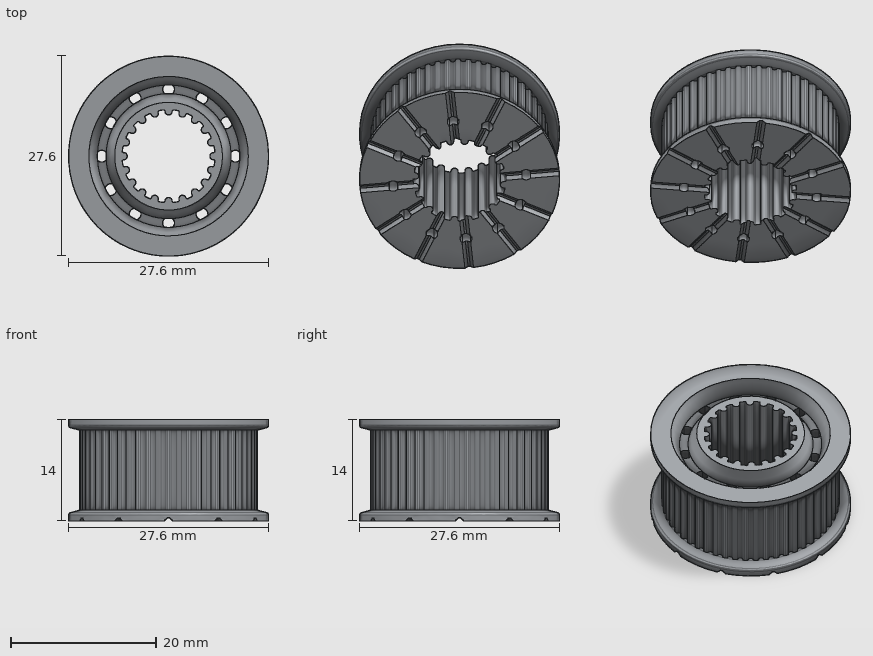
import cadquery as cq
import math

FLANGE_DIAMETER = 27.55
HEIGHT = 14.0

FLANGE_THICKNESS = 1.5
FLANGE_CONE_ANGLE = 15.0
FLANGE_EDGE_FILLET = 0.37

BELT_TEETH = 53
BARREL_DIAMETER = 24.5
BELT_GROOVE_DEPTH = 0.42
BELT_GROOVE_NOSE_RADIUS = 0.38
BELT_GROOVE_EDGE_RADIUS = 0.22

BORE_LUGS = 20
BORE_DIAMETER = 12.78
LUG_HEIGHT = 0.72
LUG_NOSE_RADIUS = 0.5
LUG_ROOT_RADIUS = 0.18

TOP_GROOVE_INNER_RADIUS = 7.42
TOP_GROOVE_OUTER_RADIUS = 10.98
TOP_GROOVE_WALL_RUN = 1.19
TOP_GROOVE_DEPTH = 2.0

HOLE_COUNT = 12
HOLE_DIAMETER = 1.6
CHANNEL_TOP_WIDTH = 0.3
CHANNEL_HEIGHT = 0.45

FLANGE_RADIUS = FLANGE_DIAMETER / 2
BARREL_RADIUS = BARREL_DIAMETER / 2
BORE_RADIUS = BORE_DIAMETER / 2
FLOOR_INNER_RADIUS = TOP_GROOVE_INNER_RADIUS + TOP_GROOVE_WALL_RUN
FLOOR_OUTER_RADIUS = TOP_GROOVE_OUTER_RADIUS - TOP_GROOVE_WALL_RUN
HOLE_CIRCLE_RADIUS = (FLOOR_INNER_RADIUS + FLOOR_OUTER_RADIUS) / 2
FIRST_TOOTH_SPACE_ANGLE = -90.0 + 180.0 / BELT_TEETH
CHANNEL_BASE_WIDTH = CHANNEL_TOP_WIDTH + 2 * CHANNEL_HEIGHT
CUT_MARGIN = 1.0
EDGE_TOLERANCE = 0.01


def polar(radius, angle):
    """Point at a radius and an angle in radians."""
    return (radius * math.cos(angle), radius * math.sin(angle))


def scalloped_outline(count, land_radius, depth, nose_radius, corner_radius, first_angle):
    """Closed outline of a circle with equally spaced rounded dips toward the centre.

    Each dip is a nose arc joined to the circle by two corner arcs. All of these
    arcs are tangent to their neighbours.
    """
    nose_centre = land_radius - depth + nose_radius
    corner_centre = land_radius - corner_radius
    reach = nose_radius + corner_radius
    half_dip = math.acos(
        (nose_centre**2 + corner_centre**2 - reach**2) / (2 * nose_centre * corner_centre)
    )
    share = nose_radius / reach
    joint_x = nose_centre + share * (corner_centre * math.cos(half_dip) - nose_centre)
    joint_y = share * corner_centre * math.sin(half_dip)
    joint_radius = math.hypot(joint_x, joint_y)
    joint_angle = math.atan2(joint_y, joint_x)

    corner_x = corner_centre * math.cos(half_dip)
    corner_y = corner_centre * math.sin(half_dip)
    joint_direction = math.atan2(joint_y - corner_y, joint_x - corner_x)
    turn = math.remainder(half_dip - joint_direction, 2 * math.pi)
    middle_direction = joint_direction + turn / 2
    middle_x = corner_x + corner_radius * math.cos(middle_direction)
    middle_y = corner_y + corner_radius * math.sin(middle_direction)
    middle_radius = math.hypot(middle_x, middle_y)
    middle_angle = math.atan2(middle_y, middle_x)

    pitch = 2 * math.pi / count
    start = math.radians(first_angle)
    outline = cq.Workplane("XY").moveTo(*polar(land_radius, start - half_dip))
    for index in range(count):
        axis = start + index * pitch
        outline = (
            outline
            .threePointArc(polar(middle_radius, axis - middle_angle), polar(joint_radius, axis - joint_angle))
            .threePointArc(polar(land_radius - depth, axis), polar(joint_radius, axis + joint_angle))
            .threePointArc(polar(middle_radius, axis + middle_angle), polar(land_radius, axis + half_dip))
            .threePointArc(polar(land_radius, axis + pitch / 2), polar(land_radius, axis + pitch - half_dip))
        )
    return outline.close()


def make_flange():
    """Bottom flange: its conical face slopes up to the barrel."""
    cone_rise = (FLANGE_RADIUS - BARREL_RADIUS) * math.tan(math.radians(FLANGE_CONE_ANGLE))
    rim_height = FLANGE_THICKNESS - cone_rise
    flange = (
        cq.Workplane("XZ")
        .lineTo(FLANGE_RADIUS, 0)
        .lineTo(FLANGE_RADIUS, rim_height)
        .lineTo(BARREL_RADIUS, FLANGE_THICKNESS)
        .lineTo(0, FLANGE_THICKNESS)
        .close()
        .revolve(360, (0, 0, 0), (0, 1, 0))
    )
    rim_edge = cq.selectors.BoxSelector(
        (-2 * FLANGE_RADIUS, -2 * FLANGE_RADIUS, rim_height - EDGE_TOLERANCE),
        (2 * FLANGE_RADIUS, 2 * FLANGE_RADIUS, rim_height + EDGE_TOLERANCE),
        boundingbox=True,
    )
    return flange.edges(rim_edge).fillet(FLANGE_EDGE_FILLET)


def make_barrel():
    """Toothed barrel between the two flanges."""
    return scalloped_outline(
        BELT_TEETH,
        BARREL_RADIUS,
        BELT_GROOVE_DEPTH,
        BELT_GROOVE_NOSE_RADIUS,
        BELT_GROOVE_EDGE_RADIUS,
        FIRST_TOOTH_SPACE_ANGLE,
    ).extrude(HEIGHT - 2 * FLANGE_THICKNESS).translate((0, 0, FLANGE_THICKNESS))


def make_bore():
    """Cutter for the through bore, leaving the inward lugs."""
    return scalloped_outline(
        BORE_LUGS, BORE_RADIUS, LUG_HEIGHT, LUG_NOSE_RADIUS, LUG_ROOT_RADIUS, 0
    ).extrude(HEIGHT)


def make_top_groove():
    """Cutter for the annular groove in the top face."""
    floor = HEIGHT - TOP_GROOVE_DEPTH
    return (
        cq.Workplane("XZ")
        .moveTo(TOP_GROOVE_INNER_RADIUS, HEIGHT)
        .lineTo(FLOOR_INNER_RADIUS, floor)
        .lineTo(FLOOR_OUTER_RADIUS, floor)
        .lineTo(TOP_GROOVE_OUTER_RADIUS, HEIGHT)
        .close()
        .revolve(360, (0, 0, 0), (0, 1, 0))
    )


def make_holes():
    """Cutter for the ring of holes, trimmed to the width of the groove floor."""
    hole_depth = HEIGHT - TOP_GROOVE_DEPTH
    floor_ring = (
        cq.Workplane("XY")
        .circle(FLOOR_OUTER_RADIUS)
        .circle(FLOOR_INNER_RADIUS)
        .extrude(hole_depth)
    )
    holes = (
        cq.Workplane("XY")
        .polarArray(HOLE_CIRCLE_RADIUS, 0, 360, HOLE_COUNT)
        .circle(HOLE_DIAMETER / 2)
        .extrude(hole_depth)
    )
    return holes.intersect(floor_ring)


def make_channel(angle):
    """Cutter for one radial channel in the bottom face, from the bore out past the rim."""
    start = BORE_RADIUS - LUG_HEIGHT - CUT_MARGIN
    end = FLANGE_RADIUS + CUT_MARGIN
    return (
        cq.Workplane("YZ", origin=(start, 0, 0))
        .moveTo(-CHANNEL_BASE_WIDTH / 2, 0)
        .lineTo(CHANNEL_BASE_WIDTH / 2, 0)
        .lineTo(CHANNEL_TOP_WIDTH / 2, CHANNEL_HEIGHT)
        .lineTo(-CHANNEL_TOP_WIDTH / 2, CHANNEL_HEIGHT)
        .close()
        .extrude(end - start)
        .rotate((0, 0, 0), (0, 0, 1), angle)
    )


plain_flange = make_flange()
top_flange = plain_flange.mirror("XY").translate((0, 0, HEIGHT))
bottom_flange = plain_flange
for hole_index in range(HOLE_COUNT):
    bottom_flange = bottom_flange.cut(make_channel(hole_index * 360 / HOLE_COUNT))

blank = make_barrel().val().fuse(bottom_flange.val(), top_flange.val())
body = blank.cut(make_bore().val(), make_top_groove().val(), *make_holes().solids().vals())
result = cq.Workplane(body.Solids()[0])